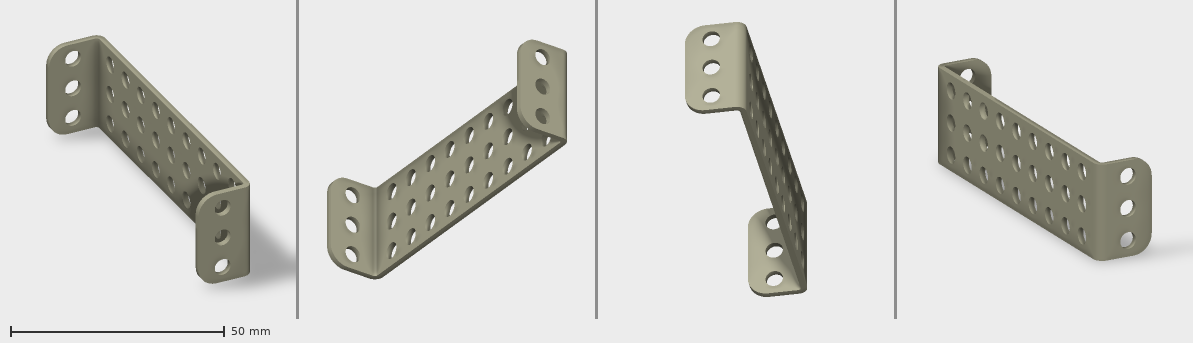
import cadquery as cq

length = 80.0
depth = 14.3
height = 24.0

thickness = 1.5
inner_bend_radius = 0.8
outer_bend_radius = inner_bend_radius + thickness
flange_corner_radius = 4.8

hole_diameter = 4.2
hole_pitch = 8.0
web_columns = 9
hole_rows = 3
flange_hole_setback = 8.0

back_y = depth / 2


def bent_sheet():
    """U-shaped channel: web at +Y, flanges reaching toward -Y."""
    outer = (
        cq.Workplane("XY")
        .box(length, depth, height)
        .edges("|Z and >Y")
        .fillet(outer_bend_radius)
    )
    inner = (
        cq.Workplane("XY")
        .box(length - 2 * thickness, depth, height)
        .edges("|Z and >Y")
        .fillet(inner_bend_radius)
        .translate((0, -thickness, 0))
    )
    return outer.cut(inner)


def web_holes():
    """Grid of round cutters through the web."""
    return (
        cq.Workplane("XZ", origin=(0, back_y, 0))
        .rarray(hole_pitch, hole_pitch, web_columns, hole_rows)
        .circle(hole_diameter / 2)
        .extrude(thickness)
    )


def flange_holes():
    """Column of round cutters running through both flanges."""
    return (
        cq.Workplane("YZ", origin=(0, back_y - flange_hole_setback, 0))
        .rarray(hole_pitch, hole_pitch, 1, hole_rows)
        .circle(hole_diameter / 2)
        .extrude(length / 2, both=True)
    )


channel = bent_sheet()
rounded_channel = channel.faces("<Y").edges("|X").fillet(flange_corner_radius)
result = rounded_channel.cut(web_holes()).cut(flange_holes())